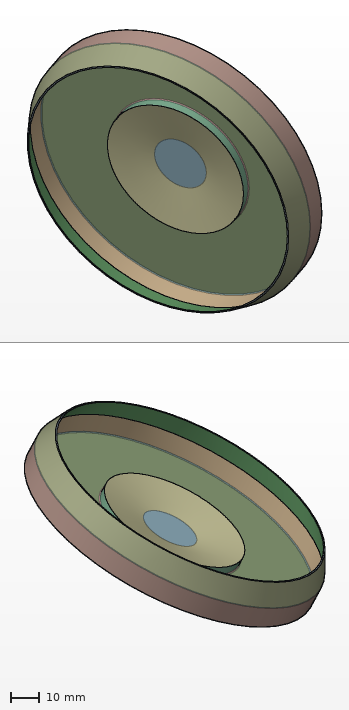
import cadquery as cq
import math

outer_diameter = 114.0
wall = 0.6
total_depth = 16.9
taper_depth = total_depth / 2
mouth_radius = 53.0
corner_radius = 0.3
shoulder_radius = wall

boss_radius = 27.5
boss_height = 3.6
dish_floor_radius = 10.5

outer_radius = outer_diameter / 2
inner_radius = outer_radius - wall
back_y = total_depth / 2
mouth_y = -back_y
shoulder_y = mouth_y + taper_depth
floor_y = back_y - wall
boss_top_y = floor_y - boss_height

taper_angle = math.atan2(outer_radius - mouth_radius, taper_depth)
shoulder_tangent = shoulder_radius * math.tan(taper_angle / 2)
shoulder_end = (
    outer_radius - shoulder_tangent * math.sin(taper_angle),
    shoulder_y - shoulder_tangent * math.cos(taper_angle),
)

half_section = (
    cq.Workplane("XY")
    .moveTo(0, back_y)
    .lineTo(outer_radius, back_y)
    .lineTo(outer_radius, shoulder_y + shoulder_tangent)
    .tangentArcPoint(shoulder_end, relative=False)
    .lineTo(mouth_radius, mouth_y)
    .lineTo(mouth_radius - wall, mouth_y)
    .lineTo(inner_radius, shoulder_y)
    .lineTo(inner_radius, floor_y - corner_radius)
    .tangentArcPoint((-corner_radius, corner_radius))
    .lineTo(boss_radius + corner_radius, floor_y)
    .tangentArcPoint((-corner_radius, -corner_radius))
    .lineTo(boss_radius, boss_top_y)
    .lineTo(dish_floor_radius, floor_y)
    .lineTo(0, floor_y)
    .close()
)

result = half_section.revolve(360, (0, 0, 0), (0, 1, 0))